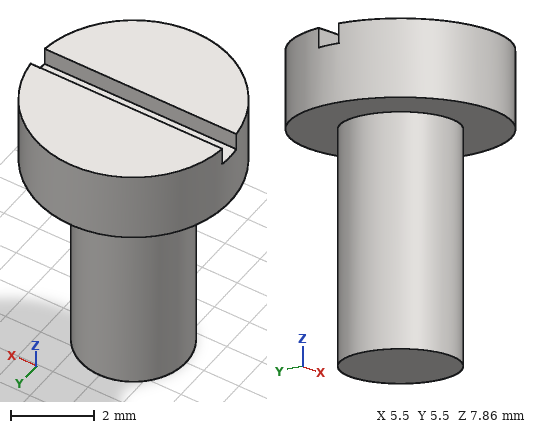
import cadquery as cq

total_height = 7.86
head_diameter = 5.5
head_height = 1.965
shank_diameter = 3.0
slot_width = 0.61
slot_depth = 0.495

shank_length = total_height - head_height


def make_shank():
    return cq.Workplane("XY").circle(shank_diameter / 2).extrude(shank_length)


def make_head():
    head = cq.Workplane("XY").workplane(offset=shank_length)
    return head.circle(head_diameter / 2).extrude(head_height)


def make_slot_cutter():
    """Driver slot running along X across the whole head."""
    slot_floor = cq.Workplane("XY").workplane(offset=total_height - slot_depth)
    return slot_floor.rect(head_diameter, slot_width).extrude(slot_depth)


result = make_shank().union(make_head()).cut(make_slot_cutter())